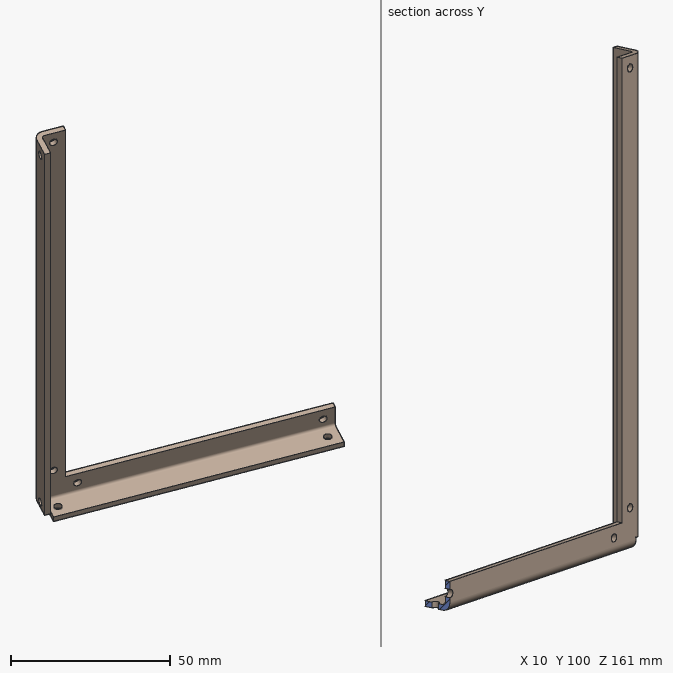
import cadquery as cq

height = 161.0
depth = 100.0
leg_width = 10.0
upright_flange_start = 3.7
hole_diameter = 2.5
hole_edge_offset = 4.0
near_corner_offset = 14.0

thickness = leg_width / 5
inner_radius = thickness / 2
outer_radius = inner_radius + thickness
hole_line = leg_width - hole_edge_offset


def angle_profile(plane):
    """L-shaped bent section, with the bend rounded about a common centre."""
    return (
        cq.Workplane(plane)
        .moveTo(0, leg_width)
        .lineTo(0, outer_radius)
        .radiusArc((outer_radius, 0), -outer_radius)
        .lineTo(leg_width, 0)
        .lineTo(leg_width, thickness)
        .lineTo(outer_radius, thickness)
        .radiusArc((thickness, outer_radius), inner_radius)
        .lineTo(thickness, leg_width)
        .close()
    )


def drill(body, plane, centers):
    """Cut round holes through the sheet lying on the given plane."""
    cutters = (
        cq.Workplane(plane)
        .pushPoints(centers)
        .circle(hole_diameter / 2)
        .extrude(thickness * 2, both=True)
    )
    return body.cut(cutters)


upright = (
    angle_profile("XY")
    .extrude(height - upright_flange_start)
    .translate((0, 0, upright_flange_start))
)

horizontal_plane = cq.Plane(origin=(0, depth, 0), xDir=(1, 0, 0), normal=(0, -1, 0))
horizontal = angle_profile(horizontal_plane).extrude(depth - outer_radius)

corner_size = leg_width - outer_radius
corner = cq.Workplane("XY").box(thickness, corner_size, corner_size, centered=False)
corner = corner.translate((0, outer_radius, outer_radius))

result = upright.union(horizontal).union(corner)

web_holes = [
    (hole_line, near_corner_offset),
    (hole_line, height - hole_edge_offset),
    (near_corner_offset, hole_line),
    (depth - hole_edge_offset, hole_line),
]
result = drill(result, "YZ", web_holes)

result = drill(result, "XZ", [(hole_line, hole_line), (hole_line, height - hole_edge_offset)])
result = drill(result, "XY", [(hole_line, hole_line), (hole_line, depth - hole_edge_offset)])